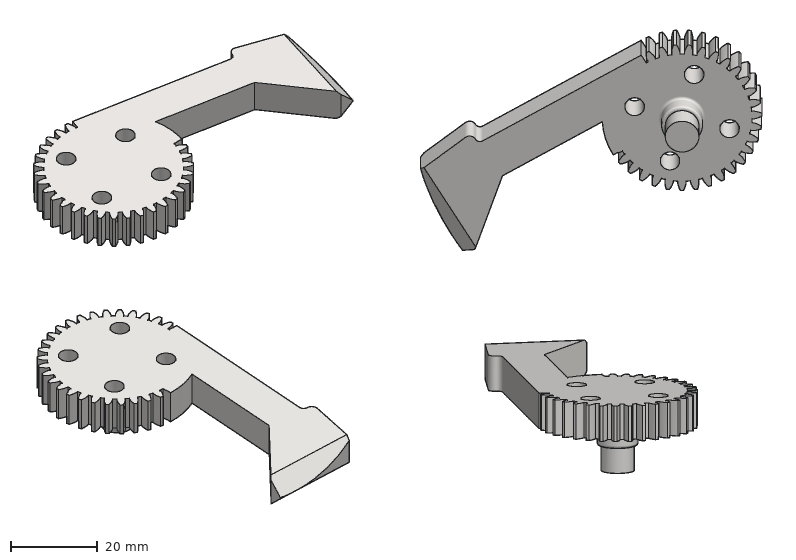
import cadquery as cq
import math

plate_thickness = 8.35
overall_height = 18.9
overall_length = 80.3

tooth_count = 35
tip_radius = 18.5
root_radius = 16.15
pressure_angle = math.radians(20)
pitch_radius = tip_radius * tooth_count / (tooth_count + 2)
base_radius = pitch_radius * math.cos(pressure_angle)
tooth_pitch = 2 * math.pi / tooth_count
flank_steps = 5

hole_diameter = 4.5
hole_spacing = 16.0

arm_width = 9.95
arm_left = -tip_radius
arm_right = arm_left + arm_width

head_reach = overall_length - tip_radius
head_right = 4.6
head_corner_y = 58.5
slope_start_y = 43.1
head_shoulder_y = 43.8
head_left_lean = 8
shoulder_outer_radius = 1.5
shoulder_inner_radius = 1.2
shoulder_flat = 0.1

collar_diameter = 9.5
collar_height = 4.6
collar_rim_radius = 0.65
collar_root_radius = 0.65
pin_diameter = 7.8
pin_length = overall_height - plate_thickness


def polar(radius, angle, centre=(0, 0)):
    """Point on a circle, at an angle in radians from the first axis."""
    return (centre[0] + radius * math.cos(angle), centre[1] + radius * math.sin(angle))


def involute(pressure):
    return math.tan(pressure) - pressure


def tooth_half_angle(radius):
    """Half the angle a tooth spans at a radius on its involute flank."""
    pressure = math.acos(base_radius / radius)
    return tooth_pitch / 4 + involute(pressure_angle) - involute(pressure)


def gear():
    step = (tip_radius - base_radius) / flank_steps
    flank_radii = [base_radius + step * i for i in range(flank_steps + 1)]
    root_half_angle = tooth_half_angle(base_radius)
    outline = cq.Workplane("XY").moveTo(*polar(root_radius, -root_half_angle))
    for index in range(tooth_count):
        centre = index * tooth_pitch
        rising = [polar(r, centre - tooth_half_angle(r)) for r in flank_radii]
        falling = [polar(r, centre + tooth_half_angle(r)) for r in reversed(flank_radii)]
        gap_middle = centre + tooth_pitch / 2
        next_tooth = centre + tooth_pitch - root_half_angle
        outline = outline.lineTo(*rising[0])
        outline = outline.spline(rising[1:], includeCurrent=True)
        outline = outline.threePointArc(polar(tip_radius, centre), falling[0])
        outline = outline.spline(falling[1:], includeCurrent=True)
        outline = outline.lineTo(*polar(root_radius, centre + root_half_angle))
        outline = outline.threePointArc(polar(root_radius, gap_middle), polar(root_radius, next_tooth))
    return outline.close().extrude(plate_thickness)


def toothless_quarter():
    """Quarter disc that fills the tooth gaps beside the arm."""
    return (
        cq.Workplane("XY")
        .moveTo(0, 0)
        .lineTo(0, tip_radius)
        .threePointArc(polar(tip_radius, math.radians(135)), (-tip_radius, 0))
        .close()
        .extrude(plate_thickness)
    )


def arm_and_head():
    inner_centre = (arm_left - shoulder_inner_radius, head_shoulder_y - shoulder_inner_radius)
    outer_centre = (inner_centre[0] - shoulder_flat, head_shoulder_y + shoulder_outer_radius)

    def on_inner(degrees):
        return polar(shoulder_inner_radius, math.radians(degrees), inner_centre)

    def on_outer(degrees):
        return polar(shoulder_outer_radius, math.radians(degrees), outer_centre)

    lean_start = on_outer(180 - head_left_lean)
    lean_slope = math.tan(math.radians(head_left_lean))
    head_left_top = lean_start[0] + (head_reach - lean_start[1]) * lean_slope
    blank = (
        cq.Workplane("XY")
        .moveTo(arm_left, 0)
        .lineTo(*on_inner(0))
        .threePointArc(on_inner(45), on_inner(90))
        .lineTo(*on_outer(270))
        .threePointArc(on_outer(225), lean_start)
        .lineTo(head_left_top, head_reach)
        .lineTo(head_right, head_reach)
        .lineTo(head_right, head_corner_y)
        .lineTo(arm_right, slope_start_y)
        .lineTo(arm_right, 0)
        .close()
        .extrude(plate_thickness)
    )
    curved_end = cq.Workplane("XY").circle(head_reach).extrude(plate_thickness)
    return blank.intersect(curved_end).intersect(wedge_envelope())


def wedge_envelope():
    """Plate section ending in a 45 degree V edge at mid-thickness."""
    half_thickness = plate_thickness / 2
    wedge_start = head_reach - half_thickness
    return (
        cq.Workplane("YZ")
        .moveTo(0, 0)
        .lineTo(wedge_start, 0)
        .lineTo(head_reach, half_thickness)
        .lineTo(wedge_start, plate_thickness)
        .lineTo(0, plate_thickness)
        .close()
        .extrude(overall_length, both=True)
    )


def stepped_pin():
    """Collar filleted into the plate and rounded at its lower rim, then the pin."""
    collar_radius = collar_diameter / 2
    pin_radius = pin_diameter / 2
    root_centre = (collar_radius + collar_root_radius, -collar_root_radius)
    rim_centre = (collar_radius - collar_rim_radius, collar_rim_radius - collar_height)

    def on_root(degrees):
        return polar(collar_root_radius, math.radians(degrees), root_centre)

    def on_rim(degrees):
        return polar(collar_rim_radius, math.radians(degrees), rim_centre)

    return (
        cq.Workplane("XZ")
        .moveTo(0, 0)
        .lineTo(*on_root(90))
        .threePointArc(on_root(135), on_root(180))
        .lineTo(*on_rim(0))
        .threePointArc(on_rim(-45), on_rim(-90))
        .lineTo(pin_radius, -collar_height)
        .lineTo(pin_radius, -pin_length)
        .lineTo(0, -pin_length)
        .close()
        .revolve(360, (0, 0, 0), (0, 1, 0))
    )


plate = gear().union(toothless_quarter()).union(arm_and_head())
plate = (
    plate.faces(">Z")
    .workplane(origin=(0, 0, plate_thickness))
    .rarray(hole_spacing, hole_spacing, 2, 2)
    .hole(hole_diameter)
)
result = plate.union(stepped_pin())